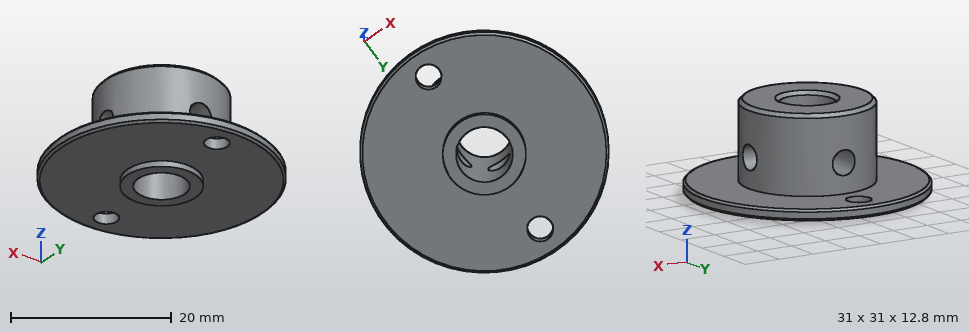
import cadquery as cq

flange_diameter = 31.0
flange_thickness = 1.5
flange_chamfer = 0.3

hub_diameter = 17.25
hub_height = 10.5
hub_chamfer = 0.5
spigot_diameter = 10.35
spigot_height = 0.8

bore_diameter = 7.07
bore_chamfer = 0.5

mount_hole_diameter = 3.22
mount_hole_spacing = 24.0

screw_hole_diameter = 3.3
screw_hole_height = 4.0

hub_top = flange_thickness + hub_height
total_height = hub_top + spigot_height


def disc(diameter, height, base_z):
    """Upright cylinder on the Z axis."""
    return cq.Workplane("XY").workplane(offset=base_z).circle(diameter / 2).extrude(height)


flange = disc(flange_diameter, flange_thickness, 0).edges().chamfer(flange_chamfer)
hub = disc(hub_diameter, hub_height, flange_thickness).faces(">Z").edges().chamfer(hub_chamfer)
spigot = disc(spigot_diameter, spigot_height, -spigot_height)
body = flange.union(hub).union(spigot)

body = body.cut(disc(bore_diameter, total_height, -spigot_height))
bore_rim = cq.Workplane("XY").add(
    cq.Solid.makeCone(
        bore_diameter / 2,
        bore_diameter / 2 + bore_chamfer,
        bore_chamfer,
        pnt=cq.Vector(0, 0, hub_top - bore_chamfer),
    )
)
body = body.cut(bore_rim)

for side in (-1, 1):
    mount_hole = disc(mount_hole_diameter, flange_thickness, 0)
    body = body.cut(mount_hole.translate((0, side * mount_hole_spacing / 2, 0)))

for direction in ((1, 0, 0), (-1, 0, 0), (0, 1, 0)):
    screw_hole = cq.Solid.makeCylinder(
        screw_hole_diameter / 2,
        hub_diameter / 2,
        pnt=cq.Vector(0, 0, flange_thickness + screw_hole_height),
        dir=cq.Vector(*direction),
    )
    body = body.cut(cq.Workplane("XY").add(screw_hole))

result = body